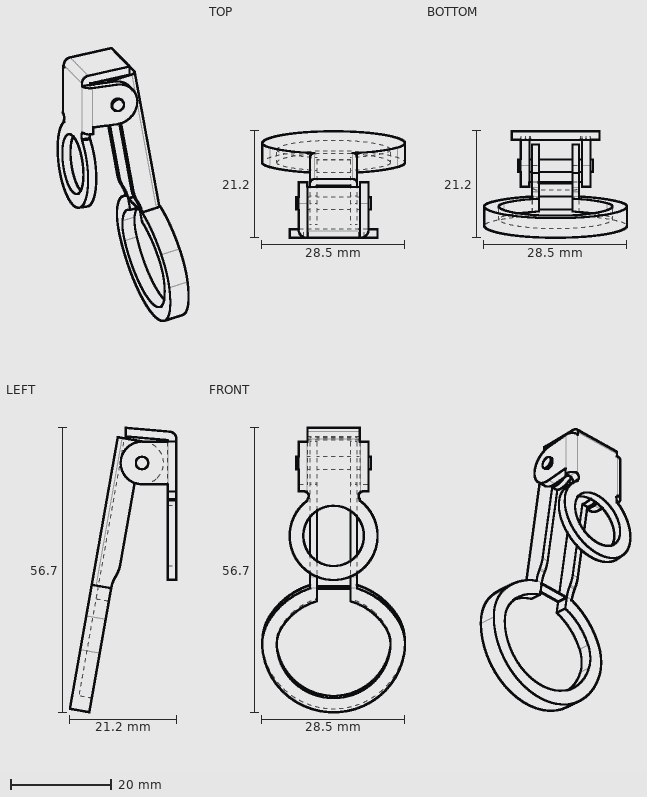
import cadquery as cq
import math

sheet = 1.75
ring_radius = 8.8
ring_hole_diameter = 12.0
plate_half_width = 5.2
neck_half_width = 5.0
relief_radius = 0.9

ear_radius = 4.25
ear_outer_half_width = plate_half_width + sheet
fold_radius = 1.65
pin_y = 6.85
pin_z = 14.5
ear_top = pin_z + ear_radius
fold_bottom = 8.85

pin_diameter = 2.5
pin_half_length = 7.5

tab_reach = 10.15
tab_rise_angle = 5
tab_inner_z = 19.05
tab_fold_radius = 1.5

arm_angle = 10
arm_half_width = 4.7
arm_wall = 1.35
arm_back = 5.65
arm_front = 0.75
arm_edge_radius = 0.9
arm_step_top = -21.9
arm_step_bottom = -24.4
arm_step_radius = 6.25

cup_front = 1.7
cup_center = -36.45
cup_lower_radius = 14.3
cup_upper_radius = 15.0
cup_upper_drop = 3.45
cup_blend_radius = 9.85
cup_flat_height = 10.8
cup_rim = 2.9
cup_lip = 0.1
cup_top = cup_center + cup_flat_height


def block(x_range, y_range, z_range):
    """Box spanning the given ranges."""
    low, high = zip(x_range, y_range, z_range)
    size = [b - a for a, b in zip(low, high)]
    return cq.Workplane("XY").box(*size, centered=False).translate(low)


def cylinder_y(radius, x, z, y_start, y_end):
    """Cylinder along Y."""
    disc = cq.Workplane("XZ", origin=(x, y_start, z)).circle(radius)
    return disc.extrude(y_start - y_end)


def cylinder_x(radius, y, z, half_length):
    """Cylinder along X, symmetric about the middle plane."""
    return cq.Workplane("YZ").center(y, z).circle(radius).extrude(half_length, both=True)


def make_plate():
    relief_x = neck_half_width + relief_radius
    relief_z = fold_bottom - relief_radius
    plate = block((-plate_half_width, plate_half_width), (0, sheet), (fold_bottom, ear_top))
    plate = plate.union(block((-relief_x, relief_x), (0, sheet), (relief_z, fold_bottom)))
    plate = plate.union(block((-plate_half_width, plate_half_width), (0, sheet), (0, relief_z)))
    for side in (-1, 1):
        plate = plate.cut(cylinder_y(relief_radius, side * relief_x, relief_z, 0, sheet))
    plate = plate.union(cylinder_y(ring_radius, 0, 0, 0, sheet))
    return plate.cut(cylinder_y(ring_hole_diameter / 2, 0, 0, 0, sheet))


def make_ears():
    x_range = (-ear_outer_half_width, ear_outer_half_width)
    inner_range = (-plate_half_width, plate_half_width)
    folds = block(x_range, (0, sheet), (fold_bottom, ear_top))
    folds = folds.edges("|Z and <Y").fillet(fold_radius)
    ears = block(x_range, (sheet, pin_y), (pin_z - ear_radius, ear_top))
    ears = ears.union(cylinder_x(ear_radius, pin_y, pin_z, ear_outer_half_width))
    gap = block(inner_range, (sheet, pin_y + ear_radius), (fold_bottom, ear_top))
    return folds.union(ears.cut(gap))


def make_tab():
    slope = math.tan(math.radians(tab_rise_angle))
    thickness_z = sheet / math.cos(math.radians(tab_rise_angle))
    end_inner_z = tab_inner_z + (tab_reach - sheet) * slope
    corner_z = tab_inner_z + thickness_z - sheet * slope
    outline = [
        (0, ear_top),
        (sheet, ear_top),
        (sheet, tab_inner_z),
        (tab_reach, end_inner_z),
        (tab_reach, end_inner_z + thickness_z),
        (0, corner_z),
    ]
    tab = cq.Workplane("YZ").polyline(outline).close().extrude(plate_half_width, both=True)
    outer_corner = cq.selectors.NearestToPointSelector((0, 0, corner_z))
    return tab.edges(outer_corner).fillet(tab_fold_radius)


def make_channel():
    outline = [
        (arm_front, ear_radius),
        (arm_back, ear_radius),
        (arm_back, cup_top),
        (cup_front, cup_top),
        (cup_front, arm_step_bottom),
        (arm_front, arm_step_top),
    ]
    channel = cq.Workplane("YZ").polyline(outline).close().extrude(arm_half_width, both=True)
    for step_corner in ((0, cup_front, arm_step_bottom), (0, arm_front, arm_step_top)):
        selector = cq.selectors.NearestToPointSelector(step_corner)
        channel = channel.edges(selector).fillet(arm_step_radius)
    channel = channel.edges("|Z and >Y").fillet(arm_edge_radius)
    channel = channel.union(cylinder_x(ear_radius, 0, 0, arm_half_width))
    inner_half_width = arm_half_width - arm_wall
    hollow = block(
        (-inner_half_width, inner_half_width),
        (-ear_radius, arm_back - arm_wall),
        (cup_top, ear_radius),
    )
    return channel.cut(hollow)


def cup_profile(inset, y_start, y_end):
    """Solid with the blended cup outline, moved inward by the inset."""
    lower = cylinder_y(cup_lower_radius - inset, 0, cup_center, y_start, y_end)
    upper = cylinder_y(cup_upper_radius - inset, 0, cup_center - cup_upper_drop, y_start, y_end)
    side_edges = cq.selectors.BoxSelector(
        (-cup_lower_radius, y_start, cup_center),
        (cup_lower_radius, y_end, cup_center + cup_flat_height / 2),
    )
    return lower.intersect(upper).edges("|Y").edges(side_edges).fillet(cup_blend_radius - inset)


def make_cup():
    inner_half_width = arm_half_width - arm_wall
    x_range = (-cup_lower_radius, cup_lower_radius)
    pocket_floor = arm_back - arm_wall
    lip_bottom = cup_top - cup_lip
    cup = cup_profile(0, cup_front, arm_back)
    above_flat = block(x_range, (cup_front, arm_back), (cup_top, cup_top + cup_rim))
    entry_x_range = (-inner_half_width, inner_half_width)
    entry = block(entry_x_range, (cup_front, pocket_floor), (cup_center, lip_bottom))
    return cup.cut(above_flat).cut(cup_profile(cup_rim, cup_front, pocket_floor)).cut(entry)


bracket = make_plate().union(make_ears()).union(make_tab())
arm = make_channel().union(make_cup())
arm = arm.rotate((0, 0, 0), (1, 0, 0), arm_angle).translate((0, pin_y, pin_z))
pin = cylinder_x(pin_diameter / 2, pin_y, pin_z, pin_half_length)
result = bracket.union(arm).union(pin)